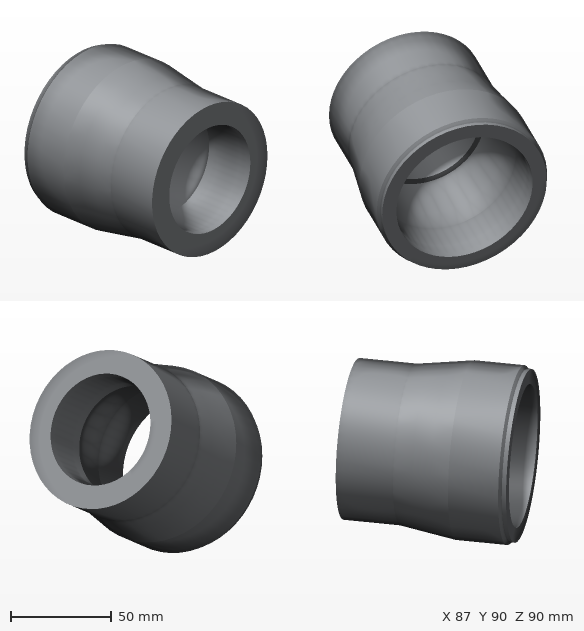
import cadquery as cq

length = 87.0
lip_diameter = 87.0
large_diameter = 90.0
small_diameter = 81.0

entry_bore = 72.0
reduced_bore = 63.0
exit_bore = 57.0

lip_end = 2.2
chamfer_end = 3.7
taper_start = 29.2
taper_end = 58.0
bore_taper_start = 25.0
bore_taper_end = taper_end


def revolve_about_x(profile):
    """Turn a closed profile, drawn as (axial position, radius), about the X axis."""
    return profile.close().revolve(360, (0, 0, 0), (1, 0, 0))


def outer_body():
    profile = (
        cq.Workplane("XY")
        .lineTo(0, lip_diameter / 2)
        .lineTo(lip_end, lip_diameter / 2)
        .lineTo(chamfer_end, large_diameter / 2)
        .lineTo(taper_start, large_diameter / 2)
        .lineTo(taper_end, small_diameter / 2)
        .lineTo(length, small_diameter / 2)
        .lineTo(length, 0)
    )
    return revolve_about_x(profile)


def bore():
    profile = (
        cq.Workplane("XY")
        .lineTo(0, entry_bore / 2)
        .lineTo(bore_taper_start, entry_bore / 2)
        .lineTo(bore_taper_end, reduced_bore / 2)
        .lineTo(bore_taper_end, exit_bore / 2)
        .lineTo(length, exit_bore / 2)
        .lineTo(length, 0)
    )
    return revolve_about_x(profile)


result = outer_body().cut(bore())